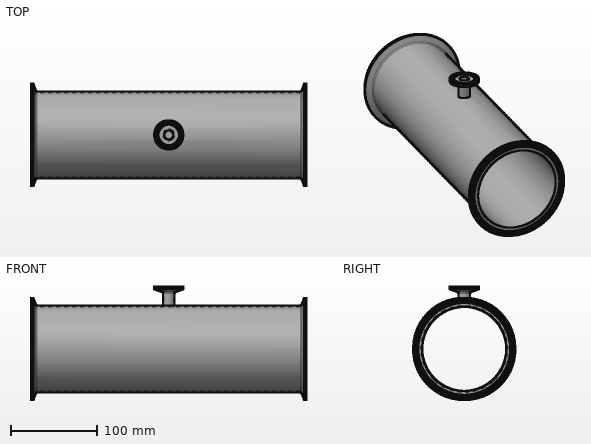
import cadquery as cq
import math

length = 320.0
tube_diameter = 101.5
tube_bore = 97.5
main_rim_diameter = 119.0
main_rim_thickness = 2.5
main_groove_inner = 107.0
main_groove_outer = 114.0

branch_top = 72.3
branch_diameter = 13.8
branch_bore = 10.5
branch_rim_diameter = 34.0
branch_rim_thickness = 3.0
branch_groove_inner = 24.0
branch_groove_outer = 31.5

cone_angle = 20.0
neck_fillet = 1.5
groove_depth = 1.5
groove_wall_run = 1.0


def ferrule(rim_diameter, rim_thickness, neck_diameter, neck_end, groove_inner, groove_outer):
    """Solid ferrule with its sealing face at Z = 0 and its neck running up to neck_end."""
    rim_radius = rim_diameter / 2
    neck_radius = neck_diameter / 2
    slope = math.radians(cone_angle)
    cone_end = rim_thickness + (rim_radius - neck_radius) * math.tan(slope)

    turn = math.pi / 2 - slope
    tangent_length = neck_fillet * math.tan(turn / 2)
    fillet_center = (neck_radius + neck_fillet, cone_end + tangent_length)
    middle_angle = math.pi + turn / 2
    fillet_middle = (
        fillet_center[0] + neck_fillet * math.cos(middle_angle),
        fillet_center[1] + neck_fillet * math.sin(middle_angle),
    )
    cone_tangent = (
        neck_radius + tangent_length * math.cos(slope),
        cone_end - tangent_length * math.sin(slope),
    )

    inner_radius = groove_inner / 2
    outer_radius = groove_outer / 2
    profile = (
        cq.Workplane("XZ")
        .lineTo(inner_radius, 0)
        .lineTo(inner_radius + groove_wall_run, groove_depth)
        .lineTo(outer_radius - groove_wall_run, groove_depth)
        .lineTo(outer_radius, 0)
        .lineTo(rim_radius, 0)
        .lineTo(rim_radius, rim_thickness)
        .lineTo(*cone_tangent)
        .threePointArc(fillet_middle, (neck_radius, fillet_center[1]))
        .lineTo(neck_radius, neck_end)
        .lineTo(0, neck_end)
        .close()
    )
    return profile.revolve(360, (0, 0, 0), (0, 1, 0))


half_tube = (
    ferrule(main_rim_diameter, main_rim_thickness, tube_diameter, length / 2,
            main_groove_inner, main_groove_outer)
    .rotate((0, 0, 0), (0, 1, 0), 90)
    .translate((-length / 2, 0, 0))
)
tube = half_tube.union(half_tube.mirror("YZ"))

branch = (
    ferrule(branch_rim_diameter, branch_rim_thickness, branch_diameter, branch_top,
            branch_groove_inner, branch_groove_outer)
    .rotate((0, 0, 0), (1, 0, 0), 180)
    .translate((0, 0, branch_top))
)

main_hole = cq.Workplane("YZ").circle(tube_bore / 2).extrude(length / 2, both=True)
branch_hole = cq.Workplane("XY").circle(branch_bore / 2).extrude(branch_top)

result = tube.union(branch).cut(main_hole).cut(branch_hole)